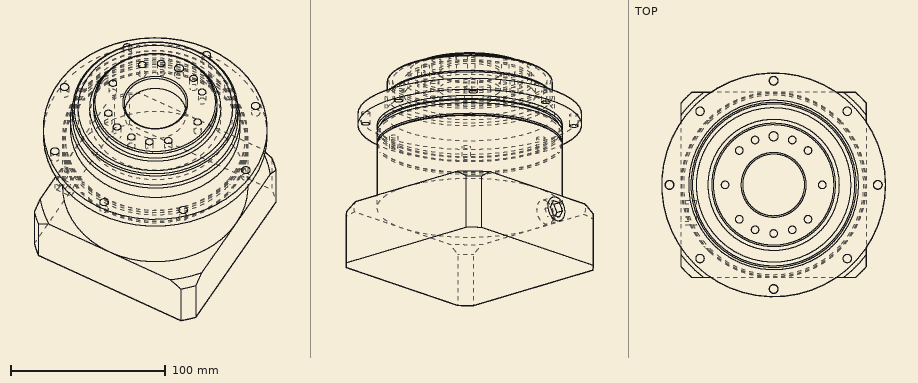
import cadquery as cq
import math

total_height = 133.0
base_height = 40.0
rotor_rise = 6.0
front_z = total_height - rotor_rise
flange_top = 104.3
flange_thickness = 7.5
flange_bottom = flange_top - flange_thickness

base_side = 120.0
corner_radius = 80.0
corner_chamfer = 5.0

body_radius = base_side / 2
relief_width = 2.8
relief_depth = 1.7
relief_top = 94.5
notch_z = 83.8
notch_depth = 0.7
flange_radius = 72.5
pilot_radius = 55.0
nose_radius = 53.5
shoulder_top = 116.0
shoulder_bevel = pilot_radius - nose_radius
nose_chamfer = 1.0

flange_hole_count = 8
flange_hole_diameter = 5.5
flange_hole_circle_radius = 67.4

seal_outer_radius = 50.0
seal_inner_radius = 42.5
seal_depth = 10.0

rotor_face_radius = 40.0
rotor_chamfer = 1.0
rotor_depth = seal_depth
bore_radius = 20.0
bore_chamfer = 1.0
bore_depth = 12.0
rotor_hole_circle_radius = 31.5
thread_diameter = 5.0
thread_depth = 10.0
drill_tip_angle = 118.0
thread_angles = [0, 45, 67.5, 112.5, 135, 180, 225, 247.5, 270, 292.5, 315]
dowel_diameter = 6.0
dowel_depth = 7.0
dowel_angle = 90

plug_diameter = 16.0
plug_length = 10.0
plug_y = -18.0
plug_z = 30.0
socket_flats = 9.9
socket_depth = 5.0


def polar_point(radius, angle):
    """Point (x, y) at an angle in degrees on a circle around the Z axis."""
    turn = math.radians(angle)
    return radius * math.cos(turn), radius * math.sin(turn)


def cylinder(radius, bottom, top):
    return cq.Workplane("XY").workplane(offset=bottom).circle(radius).extrude(top - bottom)


def plug_cylinder():
    """Space filled by the plug, starting at the -X face of the base."""
    return (
        cq.Workplane("YZ", origin=(-base_side / 2, plug_y, plug_z))
        .circle(plug_diameter / 2)
        .extrude(plug_length)
    )


def make_base():
    """Square block whose corners are turned round and chamfered on top."""
    block = cq.Workplane("XY").rect(base_side, base_side).extrude(base_height)
    turned = cylinder(corner_radius, 0, base_height).faces(">Z").chamfer(corner_chamfer)
    return block.intersect(turned)


def make_round_body():
    """Turned upper part of the housing, from the base to the front face."""
    relief_radius = body_radius - relief_depth
    relief_bottom = relief_top - relief_width
    outline = [
        (0, base_height),
        (body_radius, base_height),
        (body_radius, notch_z - notch_depth),
        (body_radius - notch_depth, notch_z),
        (body_radius, notch_z + notch_depth),
        (body_radius, relief_bottom),
        (relief_radius, relief_bottom),
        (relief_radius, relief_top),
        (body_radius, relief_top),
        (body_radius, flange_bottom),
        (flange_radius, flange_bottom),
        (flange_radius, flange_top),
        (pilot_radius, flange_top),
        (pilot_radius, shoulder_top - shoulder_bevel),
        (nose_radius, shoulder_top),
        (nose_radius, front_z - nose_chamfer),
        (nose_radius - nose_chamfer, front_z),
        (0, front_z),
    ]
    return cq.Workplane("XZ").polyline(outline).close().revolve(360, (0, 0, 0), (0, 1, 0))


def make_flange_holes():
    return (
        cq.Workplane("XY")
        .workplane(offset=flange_bottom)
        .polarArray(flange_hole_circle_radius, 0, 360, flange_hole_count)
        .circle(flange_hole_diameter / 2)
        .extrude(flange_thickness)
    )


def make_housing():
    seat = cylinder(seal_outer_radius, front_z - seal_depth, front_z)
    return make_base().union(make_round_body()).cut(make_flange_holes()).cut(seat).cut(plug_cylinder())


def make_seal():
    """Ring that fills the gap between the housing and the rotor, flush with the front face."""
    bottom = front_z - seal_depth
    return cylinder(seal_outer_radius, bottom, front_z).cut(cylinder(seal_inner_radius, bottom, front_z))


def make_thread_hole(angle):
    """Blind drilled hole with a conical bottom."""
    radius = thread_diameter / 2
    tip_height = radius / math.tan(math.radians(drill_tip_angle / 2))
    x, y = polar_point(rotor_hole_circle_radius, angle)
    outline = [(0, 0), (radius, 0), (radius, -thread_depth), (0, -thread_depth - tip_height)]
    drill = cq.Workplane("XZ").polyline(outline).close().revolve(360, (0, 0, 0), (0, 1, 0))
    return drill.translate((x, y, total_height))


def make_dowel_hole():
    x, y = polar_point(rotor_hole_circle_radius, dowel_angle)
    return cylinder(dowel_diameter / 2, total_height - dowel_depth, total_height).translate((x, y, 0))


def make_rotor():
    """Output flange with a centring bore, tapped holes and one dowel hole."""
    bore_bottom = total_height - bore_depth
    outline = [
        (0, front_z - rotor_depth),
        (seal_inner_radius, front_z - rotor_depth),
        (seal_inner_radius, front_z),
        (rotor_face_radius, front_z),
        (rotor_face_radius, total_height - rotor_chamfer),
        (rotor_face_radius - rotor_chamfer, total_height),
        (bore_radius + bore_chamfer, total_height),
        (bore_radius, total_height - bore_chamfer),
        (bore_radius, bore_bottom),
        (0, bore_bottom),
    ]
    rotor = cq.Workplane("XZ").polyline(outline).close().revolve(360, (0, 0, 0), (0, 1, 0))
    for angle in thread_angles:
        rotor = rotor.cut(make_thread_hole(angle))
    return rotor.cut(make_dowel_hole())


def make_plug():
    """Screw plug with a hexagon socket, flush with the side of the base."""
    socket_corners = socket_flats / math.cos(math.radians(30))
    socket = (
        cq.Workplane("YZ", origin=(-base_side / 2, plug_y, plug_z))
        .polygon(6, socket_corners)
        .extrude(socket_depth)
    )
    return plug_cylinder().cut(socket)


housing = make_housing()
seal = make_seal()
rotor = make_rotor()
plug = make_plug()

result = cq.Compound.makeCompound([housing.val(), seal.val(), rotor.val(), plug.val()])